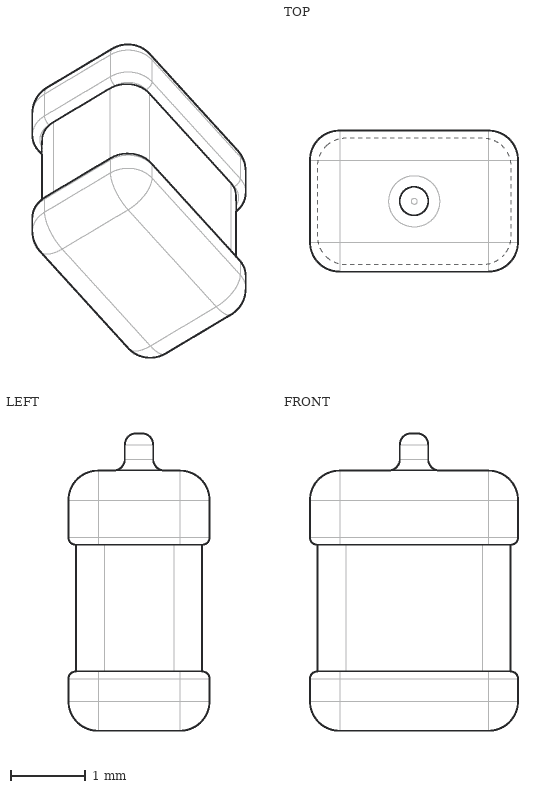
import cadquery as cq

cap_length = 2.8
cap_width = 1.9
total_height = 4.0

bottom_cap_height = 0.8
top_cap_height = 1.0
cap_corner_radius = 0.4
cap_rim_radius = 0.1

body_setback = 0.1
body_corner_radius = 0.38
body_length = cap_length - 2 * body_setback
body_width = cap_width - 2 * body_setback

pin_height = 0.5
pin_radius = 0.19
pin_tip_radius = 0.15
pin_base_radius = 0.15

top_cap_top = total_height - pin_height
top_cap_bottom = top_cap_top - top_cap_height


def rounded_block(length, width, bottom, top, corner_radius):
    """Upright block with rounded vertical edges, centred on the Z axis."""
    return (
        cq.Workplane("XY")
        .workplane(offset=bottom)
        .rect(length, width)
        .extrude(top - bottom)
        .edges("|Z")
        .fillet(corner_radius)
    )


def end_cap(bottom, top, outer_face, rim_face):
    """Cap with a large round on its outer face and a small one on the rim facing the body."""
    cap = rounded_block(cap_length, cap_width, bottom, top, cap_corner_radius)
    cap = cap.faces(rim_face).edges().fillet(cap_rim_radius)
    return cap.faces(outer_face).edges().fillet(cap_corner_radius)


def terminal_pin():
    """Revolved pin with a rounded tip and a concave flare where it meets the cap."""
    base_outer = pin_radius + pin_base_radius
    diagonal = 0.5**0.5
    flare_mid = (
        base_outer - pin_base_radius * diagonal,
        top_cap_top + pin_base_radius * (1 - diagonal),
    )
    tip_mid = (
        pin_radius - pin_tip_radius * (1 - diagonal),
        total_height - pin_tip_radius * (1 - diagonal),
    )
    root = top_cap_top - cap_rim_radius
    return (
        cq.Workplane("XZ")
        .moveTo(0, root)
        .lineTo(base_outer, root)
        .lineTo(base_outer, top_cap_top)
        .threePointArc(flare_mid, (pin_radius, top_cap_top + pin_base_radius))
        .lineTo(pin_radius, total_height - pin_tip_radius)
        .threePointArc(tip_mid, (pin_radius - pin_tip_radius, total_height))
        .lineTo(0, total_height)
        .close()
        .revolve(360, (0, 0), (0, 1))
    )


body = rounded_block(body_length, body_width, bottom_cap_height, top_cap_bottom, body_corner_radius)
bottom_cap = end_cap(0, bottom_cap_height, "<Z", ">Z")
top_cap = end_cap(top_cap_bottom, top_cap_top, ">Z", "<Z")

result = body.union(bottom_cap).union(top_cap).union(terminal_pin())